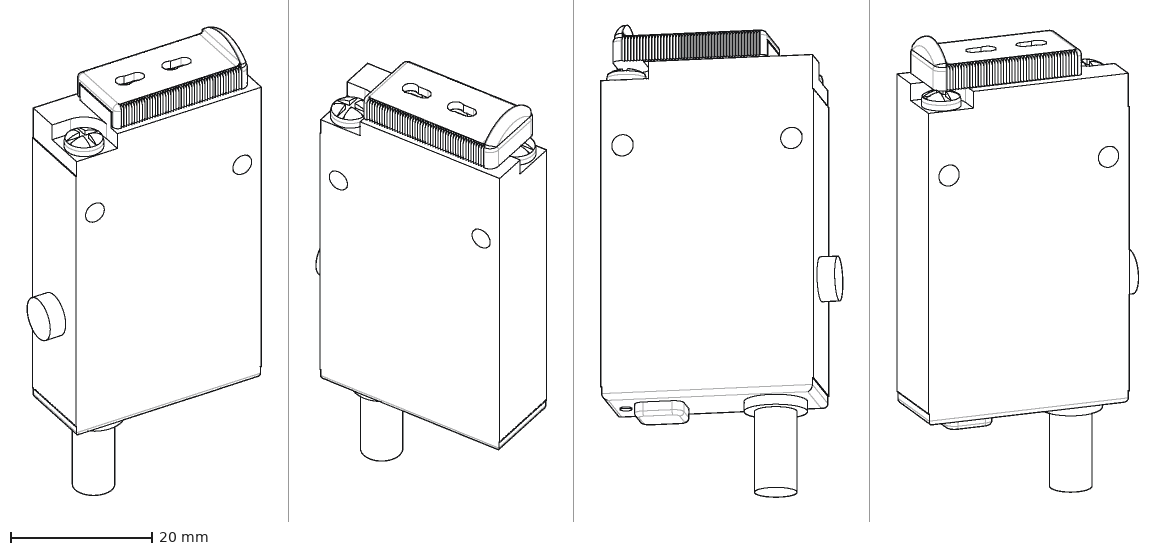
import cadquery as cq
import math

WIDTH = 12.0
DEPTH = 30.7
HEIGHT = 48.95
END_STEP = 0.15
FOOT_HEIGHT = 1.85
PANEL_TOP = 44.0
BASE_FILLET = 0.8

SCREW_INSET = 3.2
SCREW_X = 2.95
SCREW_RADIUS = 2.8
SCREW_RIM_HEIGHT = 0.8
SCREW_DOME_RADIUS = 2.7
SCREW_DOME_BASE = 1.4
SCREW_HEIGHT = 2.2
SCREW_SLOT_WIDTH = 0.95
POCKET_FLOOR = 46.5
POCKET_RADIUS = 3.7
POCKET_LENGTH = SCREW_INSET + POCKET_RADIUS

MOUNT_HOLE_DIAMETER = 3.1
MOUNT_HOLE_INSET = SCREW_INSET
MOUNT_HOLE_Z = 36.9
BUTTON_DIAMETER = 6.4
BUTTON_LENGTH = 2.55
BUTTON_Z = 17.55
PLUG_WIDTH = 6.6
PLUG_LENGTH = 7.1
PLUG_Y = 23.0
PLUG_HEIGHT = 1.9
PLUG_CORNER_RADIUS = 1.45
PLUG_FILLET = 0.6
STUD_DIAMETER = 1.65
STUD_HEIGHT = 0.2
STUD_Y = 28.15

COVER_WIDTH = 11.15
COVER_FRONT = 6.9
COVER_BACK = 29.25
COVER_BOTTOM = 49.35
COVER_TOP = 53.1
COVER_FILLET = 0.8
COVER_BACK_RADIUS = 1.45
TAB_INSET = 0.2
TAB_FRONT = 27.7
TAB_TOP = 55.6
TAB_ARC_RADIUS = 7.6
TAB_ROOT_FILLET = 0.6
TAB_BACK_FILLET = 1.25
RIB_COUNT = 46
RIB_DEPTH = 0.55
RIB_START = 7.8
RIB_LENGTH = 19.9
RIB_PITCH = RIB_LENGTH / RIB_COUNT

NECK_WIDTH = 8.55
NECK_FRONT = POCKET_LENGTH
NECK_BACK = 24.6
NECK_TOP = 51.55
NECK_CLEARANCE = 0.2

DIAL_PLACES = (11.5, 19.2)
DIAL_RADIUS = 1.25
DIAL_RIM_RADIUS = 1.65
DIAL_RIM_DEPTH = 0.55
DIAL_DEPTH = 1.0
DIAL_SLOT_Y = 11.1
DIAL_SLOT_WIDTH = 0.6
DIAL_SLOT_DEPTH = 0.3
KEYHOLE_RADIUS = 1.2
KEYHOLE_SLOT_RADIUS = 0.95
KEYHOLE_SLOT_LENGTH = 2.35

CABLE_Y = 6.55
CABLE_DIAMETER = 6.05
CABLE_END = -13.2
COLLAR_DIAMETER = 9.0
COLLAR_HEIGHT = 1.45


def block(width, y_front, y_back, z_bottom, z_top):
    """Box centred on X = 0 between the given Y and Z limits."""
    size = (width, y_back - y_front, z_top - z_bottom)
    return cq.Workplane("XY").box(*size, centered=(True, False, False)).translate((0, y_front, z_bottom))


def cylinder(x, y, radius, z_bottom, z_top):
    """Upright cylinder between two heights."""
    return cq.Workplane("XY", origin=(x, y, z_bottom)).circle(radius).extrude(z_top - z_bottom)


def turned_half_round(shape):
    """The same shape at the opposite corner of the housing."""
    return shape.rotate((0, DEPTH / 2, 0), (0, DEPTH / 2, 1), 180)


def make_case():
    """Block whose foot and front top strip stand back slightly from the end faces."""
    foot = block(WIDTH, END_STEP, DEPTH - END_STEP, 0, FOOT_HEIGHT).faces("<Z").edges().fillet(BASE_FILLET)
    panel = block(WIDTH, 0, DEPTH, FOOT_HEIGHT, PANEL_TOP)
    top = block(WIDTH, END_STEP, DEPTH, PANEL_TOP, HEIGHT)
    neck = block(NECK_WIDTH, NECK_FRONT, NECK_BACK, HEIGHT, NECK_TOP)
    return foot.union(panel).union(top).union(neck)


def make_pocket():
    """Front corner pocket, rounded about the screw axis and open to the front and right."""
    pocket_left = SCREW_X - POCKET_RADIUS
    diagonal = POCKET_RADIUS * math.sqrt(0.5)
    return (
        cq.Workplane("XY", origin=(0, 0, POCKET_FLOOR))
        .moveTo(pocket_left, 0)
        .lineTo(pocket_left, SCREW_INSET)
        .threePointArc((SCREW_X - diagonal, SCREW_INSET + diagonal), (SCREW_X, POCKET_LENGTH))
        .lineTo(WIDTH / 2, POCKET_LENGTH)
        .lineTo(WIDTH / 2, 0)
        .close()
        .extrude(NECK_TOP - POCKET_FLOOR)
    )


def make_screw_head():
    """Domed head with a cross slot, standing on the pocket floor."""
    dome_height = SCREW_HEIGHT - SCREW_DOME_BASE
    sphere_radius = (SCREW_DOME_RADIUS**2 + dome_height**2) / (2 * dome_height)
    mid_radius = SCREW_DOME_RADIUS / 2
    mid_height = SCREW_HEIGHT - sphere_radius + math.sqrt(sphere_radius**2 - mid_radius**2)
    head = (
        cq.Workplane("XZ")
        .lineTo(SCREW_RADIUS, 0)
        .lineTo(SCREW_RADIUS, SCREW_RIM_HEIGHT)
        .lineTo(SCREW_DOME_RADIUS, SCREW_DOME_BASE)
        .threePointArc((mid_radius, mid_height), (0, SCREW_HEIGHT))
        .close()
        .revolve(360, (0, 0, 0), (0, 1, 0))
    )
    slot = (
        cq.Workplane("XY", origin=(0, 0, SCREW_DOME_BASE))
        .rect(2 * SCREW_RADIUS, SCREW_SLOT_WIDTH)
        .extrude(SCREW_HEIGHT)
    )
    head = head.cut(slot).cut(slot.rotate((0, 0, 0), (0, 0, 1), 90))
    return head.translate((SCREW_X, SCREW_INSET, POCKET_FLOOR))


def make_mount_holes():
    """Two holes running through the housing along X."""
    return (
        cq.Workplane("YZ", origin=(-WIDTH / 2, 0, MOUNT_HOLE_Z))
        .pushPoints([(MOUNT_HOLE_INSET, 0), (DEPTH - MOUNT_HOLE_INSET, 0)])
        .circle(MOUNT_HOLE_DIAMETER / 2)
        .extrude(WIDTH)
    )


def make_button():
    """Round button on the front panel."""
    return cq.Workplane("XZ", origin=(0, 0, BUTTON_Z)).circle(BUTTON_DIAMETER / 2).extrude(BUTTON_LENGTH)


def make_plug():
    """Rounded rectangular plug below the underside."""
    half = PLUG_LENGTH / 2
    plug = block(PLUG_WIDTH, PLUG_Y - half, PLUG_Y + half, -PLUG_HEIGHT, 0)
    return plug.edges("|Z").fillet(PLUG_CORNER_RADIUS).faces("<Z").edges().fillet(PLUG_FILLET)


def make_dial_well(y):
    """Countersunk round well in the top of the neck."""
    rim = DIAL_RIM_RADIUS - DIAL_RADIUS
    well = cylinder(0, y, DIAL_RADIUS, NECK_TOP - DIAL_DEPTH, NECK_TOP)
    countersink = cylinder(0, y, DIAL_RIM_RADIUS, NECK_TOP - DIAL_RIM_DEPTH, NECK_TOP)
    return well.union(countersink.faces("<Z").edges().chamfer(rim))


def make_dial_slot():
    """Screwdriver slot across the floor of the front dial well."""
    floor = NECK_TOP - DIAL_DEPTH
    half = DIAL_SLOT_WIDTH / 2
    return block(2 * KEYHOLE_SLOT_RADIUS, DIAL_SLOT_Y - half, DIAL_SLOT_Y + half, floor - DIAL_SLOT_DEPTH, floor)


def make_housing():
    """Case with its screw heads, button, plug, stud and dial wells."""
    housing = make_case()
    pocket = make_pocket()
    screw = make_screw_head()
    housing = housing.cut(pocket).cut(turned_half_round(pocket))
    housing = housing.union(screw).union(turned_half_round(screw))
    housing = housing.cut(make_mount_holes())
    housing = housing.union(make_button()).union(make_plug())
    housing = housing.union(cylinder(0, STUD_Y, STUD_DIAMETER / 2, -STUD_HEIGHT, 0))
    for y in DIAL_PLACES:
        housing = housing.cut(make_dial_well(y))
    return housing.cut(make_dial_slot())


def make_cover_block():
    """Cover outline with rounded corners and a rounded top edge."""
    body = block(COVER_WIDTH, COVER_FRONT, COVER_BACK, COVER_BOTTOM, COVER_TOP)
    body = body.edges("|Z and <Y").fillet(COVER_FILLET).edges("|Z and >Y").fillet(COVER_BACK_RADIUS)
    return body.faces(">Z").edges().fillet(COVER_FILLET)


def make_tab():
    """Finger tab with an arched top at the back of the cover."""
    half = COVER_WIDTH / 2 - TAB_INSET
    tab_back = COVER_BACK - TAB_INSET
    edge_z = TAB_TOP - TAB_ARC_RADIUS + math.sqrt(TAB_ARC_RADIUS**2 - half**2)
    arch = (
        cq.Workplane("XZ", origin=(0, TAB_FRONT, 0))
        .moveTo(-half, COVER_BOTTOM)
        .lineTo(-half, edge_z)
        .threePointArc((0, TAB_TOP), (half, edge_z))
        .lineTo(half, COVER_BOTTOM)
        .close()
        .extrude(TAB_FRONT - tab_back)
    )
    return arch.faces(">Y").edges("not <Z").fillet(TAB_BACK_FILLET)


def make_tab_root():
    """Concave fillet strip between the top of the cover and the front of the tab."""
    half_length = COVER_WIDTH / 2 - RIB_DEPTH
    sag = TAB_ROOT_FILLET * (1 - math.sqrt(0.5))
    return (
        cq.Workplane("YZ", origin=(-half_length, TAB_FRONT, COVER_TOP))
        .moveTo(-TAB_ROOT_FILLET, 0)
        .threePointArc((-sag, sag), (0, TAB_ROOT_FILLET))
        .lineTo(0, 0)
        .close()
        .extrude(2 * half_length)
    )


def make_keyhole(y):
    """Keyhole: a round hole with a narrower round-ended slot behind it."""
    slot_end = y + KEYHOLE_SLOT_LENGTH
    hole = cylinder(0, y, KEYHOLE_RADIUS, COVER_BOTTOM, COVER_TOP)
    slot = block(2 * KEYHOLE_SLOT_RADIUS, y, slot_end, COVER_BOTTOM, COVER_TOP)
    return hole.union(slot).union(cylinder(0, slot_end, KEYHOLE_SLOT_RADIUS, COVER_BOTTOM, COVER_TOP))


def make_rib_grooves():
    """V grooves along the right side that leave a row of sharp ribs."""
    side = COVER_WIDTH / 2
    outline = cq.Workplane("XY", origin=(0, 0, COVER_BOTTOM)).moveTo(side, RIB_START)
    for i in range(RIB_COUNT):
        y = RIB_START + i * RIB_PITCH
        outline = outline.lineTo(side - RIB_DEPTH, y + RIB_PITCH / 2).lineTo(side, y + RIB_PITCH)
    outline = outline.lineTo(side + RIB_DEPTH, RIB_START + RIB_LENGTH)
    return outline.lineTo(side + RIB_DEPTH, RIB_START).close().extrude(COVER_TOP - COVER_BOTTOM)


def make_cover():
    """Ribbed slide cover, open to the front and hollow over the neck."""
    cover = make_cover_block()
    flat_width = COVER_WIDTH - 2 * RIB_DEPTH
    cover = cover.union(block(flat_width, RIB_START, TAB_FRONT, COVER_BOTTOM, COVER_TOP))
    cover = cover.union(make_tab()).union(make_tab_root())
    cavity_width = NECK_WIDTH + 2 * NECK_CLEARANCE
    cavity_back = NECK_BACK + NECK_CLEARANCE
    cavity_top = NECK_TOP + NECK_CLEARANCE
    cover = cover.cut(block(cavity_width, COVER_FRONT, cavity_back, COVER_BOTTOM, cavity_top))
    grooves = make_rib_grooves()
    cover = cover.cut(grooves).cut(grooves.mirror("YZ"))
    for y in DIAL_PLACES:
        cover = cover.cut(make_keyhole(y))
    return cover


def make_cable():
    """Cable with the collar that meets the underside of the housing."""
    collar = cylinder(0, CABLE_Y, COLLAR_DIAMETER / 2, -COLLAR_HEIGHT, 0)
    return collar.union(cylinder(0, CABLE_Y, CABLE_DIAMETER / 2, CABLE_END, -COLLAR_HEIGHT))


housing = make_housing()
cover = make_cover()
cable = make_cable()

result = cq.Compound.makeCompound([housing.val(), cover.val(), cable.val()])